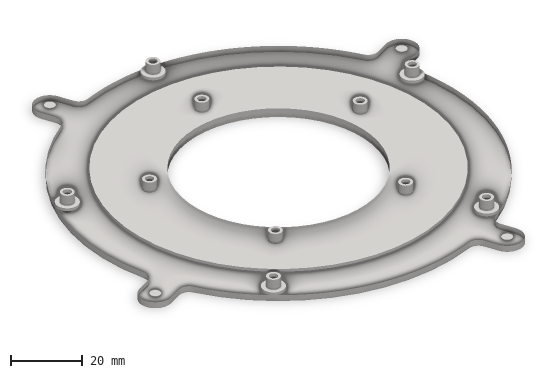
import cadquery as cq
import math

plate_diameter = 130.0
plate_thickness = 2.0
bore_diameter = 62.0

land_diameter = 105.5
land_height = 0.9
land_top = plate_thickness + land_height
pad_diameter = 7.0

pin_diameter = 4.2
pin_hole_diameter = 2.6
total_height = 6.1
pin_height = total_height - land_top
pin_count = 5
first_pin_angle = -90.0
inner_pin_circle_radius = 37.6
outer_pin_circle_radius = 61.5

ear_count = 4
first_ear_angle = 45.0
ear_width = 9.9
ear_offset = 51.2
ear_center_radius = ear_offset * math.sqrt(2)
ear_root_fillet = 3.2
ear_recess_diameter = 3.4
ear_recess_depth = 0.1


def ring_points(radius, count, first_angle):
    """Evenly spaced points on a circle about the origin."""
    angles = [math.radians(first_angle + i * 360 / count) for i in range(count)]
    return [(radius * math.cos(a), radius * math.sin(a)) for a in angles]


def cylinders(points, diameter, bottom, top):
    """Upright cylinders at the given points, between two heights."""
    start = cq.Workplane("XY").workplane(offset=bottom)
    return start.pushPoints(points).circle(diameter / 2).extrude(top - bottom)


def ear(angle):
    """Round-ended bar running from the plate center to an ear's tip."""
    bar = cq.Workplane("XY").center(ear_center_radius / 2, 0)
    bar = bar.slot2D(ear_center_radius + ear_width, ear_width).extrude(plate_thickness)
    return bar.rotate((0, 0, 0), (0, 0, 1), angle)


def ear_plate():
    """Round plate with ears blended into its rim."""
    plate = cylinders([(0, 0)], plate_diameter, 0, plate_thickness)
    for i in range(ear_count):
        plate = plate.union(ear(first_ear_angle + i * 360 / ear_count))

    half_angle = math.degrees(math.asin(ear_width / plate_diameter))
    for side in (-half_angle, half_angle):
        for x, y in ring_points(plate_diameter / 2, ear_count, first_ear_angle + side):
            root = cq.selectors.NearestToPointSelector((x, y, plate_thickness / 2))
            plate = plate.edges("|Z").edges(root).fillet(ear_root_fillet)
    return plate


ear_points = ring_points(ear_center_radius, ear_count, first_ear_angle)
inner_pins = ring_points(inner_pin_circle_radius, pin_count, first_pin_angle)
outer_pins = ring_points(outer_pin_circle_radius, pin_count, first_pin_angle)

through_pins = inner_pins + outer_pins[:1]
blind_pins = outer_pins[1:]

result = ear_plate()
result = result.union(cylinders([(0, 0)], land_diameter, 0, land_top))
result = result.union(cylinders(outer_pins, pad_diameter, plate_thickness, land_top))
result = result.union(cylinders(inner_pins + outer_pins, pin_diameter, plate_thickness, total_height))

result = result.cut(cylinders([(0, 0)], bore_diameter, 0, land_top))
result = result.cut(cylinders(through_pins, pin_hole_diameter, 0, total_height))
result = result.cut(cylinders(blind_pins, pin_hole_diameter, land_top, total_height))
recess_floor = plate_thickness - ear_recess_depth
result = result.cut(cylinders(ear_points, ear_recess_diameter, recess_floor, plate_thickness))